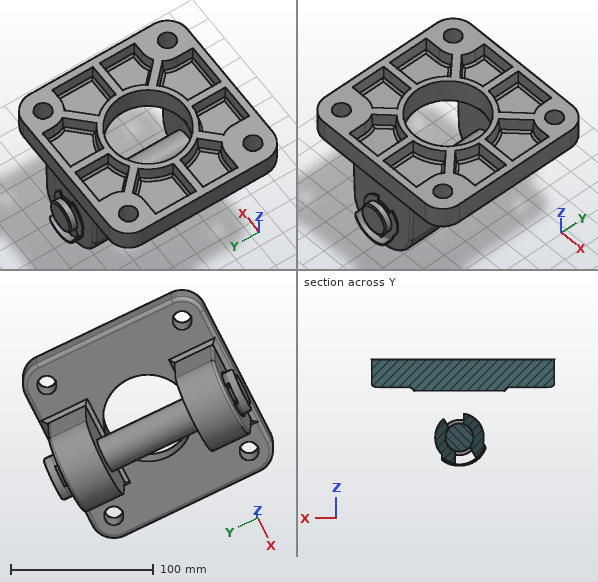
import cadquery as cq
import math

pin_offset = 2.5

plate_side = 140.0
plate_thickness = 20.0
plate_corner_radius = 17.0
plate_edge_fillet = 3.0
bore_radius = 31.5
bolt_circle_diameter = 150.0
bolt_hole_diameter = 13.5
bolt_offset = bolt_circle_diameter / 2 / math.sqrt(2)

pocket_depth = 11.5
pocket_floor_chamfer = 1.7
pocket_draft = 5.0
rim_width = 6.0
cross_rib_width = 6.0
diagonal_rib_width = 6.5
bore_wall_radius = 36.0
bolt_boss_radius = 17.5
bolt_boss_reach = 35.0
boss_square_side = 4 * bolt_boss_radius
boss_square_centre = bolt_boss_reach + boss_square_side / 2

pin_height = -55.0
lug_inner_face = 35.0
lug_outer_face = 65.0
lug_radius = 30.0
lug_top_half_width = 31.0
lug_arc_start_height = -59.2
lug_edge_fillet = 2.0
lug_root_chamfer = 3.0
root_overlap = 1.0

pin_radius = 12.5
pin_end = 73.25
pin_chamfer = 1.1
groove_radius = 10.0
groove_outer_face = 67.2

clip_thickness = 1.2
clip_lobe_radius = 17.2
clip_tip_fillet = 0.6
clip_tilt = 15.0
clip_flare = 15.0
clip_gap_offset = 3.0
tab_outer_radius = 20.0
tab_end = 74.25
tab_end_offset = 12.5
tab_corner_fillet = 2.0
bend_outer_radius = 3.2
bend_inner_radius = 0.8


def cylinder_z(radius, x, y, depth):
    """Vertical cylinder hanging down from the top face."""
    return cq.Workplane("XY").center(x, y).circle(radius).extrude(-depth)


def make_plate():
    plate = cq.Workplane("XY").rect(plate_side, plate_side).extrude(-plate_thickness)
    plate = plate.edges("|Z").fillet(plate_corner_radius)
    return plate.faces("<Z").edges().fillet(plate_edge_fillet)


def lug_half_width(z):
    """Half width of the drafted lug sides at height z."""
    end_half_width = math.sqrt(lug_radius**2 - (lug_arc_start_height - pin_height) ** 2)
    root_height = -plate_thickness - lug_root_chamfer
    slope = (lug_top_half_width - end_half_width) / (root_height - lug_arc_start_height)
    return end_half_width + slope * (z - lug_arc_start_height)


def make_lug():
    """Lug on the -Y side, with a sloped skirt where it meets the plate."""
    top_z = -plate_thickness + root_overlap
    top = lug_half_width(top_z)
    low = lug_half_width(lug_arc_start_height)
    depth = lug_outer_face - lug_inner_face
    lug = (
        cq.Workplane("XZ", origin=(pin_offset, -lug_inner_face, 0))
        .moveTo(-top, top_z)
        .lineTo(-low, lug_arc_start_height)
        .threePointArc((0, pin_height - lug_radius), (low, lug_arc_start_height))
        .lineTo(top, top_z)
        .close()
        .extrude(depth)
    )
    lug = lug.faces("<Y").edges("not >Z").fillet(lug_edge_fillet)
    skirt_height = lug_root_chamfer + root_overlap
    lug_middle = (lug_inner_face + lug_outer_face) / 2
    skirt = (
        cq.Workplane("XY", origin=(pin_offset, -lug_middle, top_z - skirt_height))
        .rect(2 * lug_top_half_width, depth)
        .workplane(offset=skirt_height)
        .rect(2 * (lug_top_half_width + skirt_height), depth + 2 * skirt_height)
        .loft()
    )
    return lug.union(skirt)


def make_pocket_blank():
    """Straight-walled layout of the eight pockets between ribs, bore wall and corner bosses."""
    side = plate_side / 2 - rim_width - cross_rib_width / 2
    centre = cross_rib_width / 2 + side / 2
    blank = (
        cq.Workplane("XY")
        .rect(2 * centre, 2 * centre, forConstruction=True)
        .vertices()
        .rect(side, side)
        .extrude(-pocket_depth)
    )
    blank = blank.cut(cylinder_z(bore_wall_radius, 0, 0, pocket_depth))
    bosses = (
        cq.Workplane("XY")
        .center(pin_offset, pin_offset)
        .rect(2 * boss_square_centre, 2 * boss_square_centre, forConstruction=True)
        .vertices()
        .rect(boss_square_side, boss_square_side)
        .extrude(-pocket_depth)
        .edges("|Z")
        .fillet(bolt_boss_radius)
    )
    blank = blank.cut(bosses)
    for angle in (45, 135):
        rib = cq.Workplane("XY").rect(2 * plate_side, diagonal_rib_width).extrude(-pocket_depth)
        rib = rib.rotate((0, 0, 0), (0, 0, 1), angle).translate((pin_offset, pin_offset, 0))
        blank = blank.cut(rib)
    return blank


def make_bracket():
    lug = make_lug()
    bracket = make_plate().union(lug).union(lug.mirror("XZ"))
    bracket = bracket.cut(cylinder_z(bore_radius, 0, 0, plate_thickness + lug_root_chamfer))
    for sx in (-1, 1):
        for sy in (-1, 1):
            hole = cylinder_z(bolt_hole_diameter / 2, sx * bolt_offset, sy * bolt_offset, plate_thickness)
            bracket = bracket.cut(hole)
    for opening in make_pocket_blank().faces(">Z").vals():
        pocket = (
            cq.Workplane("XY")
            .add(opening.outerWire())
            .toPending()
            .extrude(-pocket_depth, taper=pocket_draft)
        )
        pocket = pocket.faces("<Z").edges().chamfer(pocket_floor_chamfer)
        bracket = bracket.cut(pocket)
    pin_bore = (
        cq.Workplane("XZ", origin=(pin_offset, lug_outer_face, pin_height))
        .circle(pin_radius)
        .extrude(2 * lug_outer_face)
    )
    return bracket.cut(pin_bore)


def make_pin():
    """Pin with chamfered ends and a clip groove outside each lug."""
    pin = (
        cq.Workplane("XZ", origin=(pin_offset, pin_end, pin_height))
        .circle(pin_radius)
        .extrude(2 * pin_end)
        .faces("<Y or >Y")
        .chamfer(pin_chamfer)
    )
    groove = (
        cq.Workplane("XZ", origin=(pin_offset, -lug_outer_face, pin_height))
        .circle(pin_radius)
        .circle(groove_radius)
        .extrude(groove_outer_face - lug_outer_face)
    )
    return pin.cut(groove).cut(groove.mirror("XZ"))


def flared_wedge(offset, direction, reach=tab_end):
    """Prism along -Y whose sides lie `offset` outside two rays flared about the Z axis."""
    flare = math.radians(clip_flare)
    apex_half_width = offset / math.cos(flare)
    length = 2 * tab_outer_radius
    end_half_width = apex_half_width + length * math.tan(flare)
    return (
        cq.Workplane("XZ")
        .polyline(
            [
                (-apex_half_width, 0),
                (-end_half_width, direction * length),
                (end_half_width, direction * length),
                (apex_half_width, 0),
            ]
        )
        .close()
        .extrude(reach)
    )


def make_clip():
    """Open spring ring on the -Y lug with a bent-up curved tab, tilted about the pin axis."""
    ring = (
        cq.Workplane("XZ", origin=(0, -lug_outer_face, 0))
        .circle(clip_lobe_radius)
        .circle(groove_radius)
        .extrude(clip_thickness)
        .cut(flared_wedge(clip_gap_offset, 1))
    )
    tips = cq.selectors.BoxSelector(
        (-tab_outer_radius, -tab_end, pin_radius), (tab_outer_radius, 0, tab_outer_radius)
    )
    ring = ring.edges("|Y").edges(tips).fillet(clip_tip_fillet)

    tab_inner_radius = tab_outer_radius - clip_thickness
    bend_end = lug_outer_face + bend_outer_radius
    ring_face = lug_outer_face + clip_thickness
    tab = (
        cq.Workplane("XY")
        .moveTo(pin_radius, -lug_outer_face)
        .lineTo(tab_outer_radius - bend_outer_radius, -lug_outer_face)
        .radiusArc((tab_outer_radius, -bend_end), bend_outer_radius)
        .lineTo(tab_outer_radius, -tab_end)
        .lineTo(tab_inner_radius, -tab_end)
        .lineTo(tab_inner_radius, -ring_face - bend_inner_radius)
        .radiusArc((tab_inner_radius - bend_inner_radius, -ring_face), -bend_inner_radius)
        .lineTo(pin_radius, -ring_face)
        .close()
        .revolve(360, (0, 0, 0), (0, 1, 0))
        .intersect(flared_wedge(tab_end_offset, -1))
    )
    tab_width = tab.val().BoundingBox().xlen
    rounded_block = (
        cq.Workplane("XY")
        .rect(tab_width, 2 * tab_end)
        .extrude(-tab_outer_radius)
        .edges("|Z")
        .fillet(tab_corner_fillet)
    )
    tab = tab.intersect(rounded_block)

    window = flared_wedge(clip_gap_offset, -1, bend_end)
    clip = ring.union(tab).cut(window)
    clip = clip.rotate((0, 0, 0), (0, 1, 0), clip_tilt)
    return clip.translate((pin_offset, 0, pin_height))


bracket = make_bracket()
pin = make_pin()
front_clip = make_clip()
rear_clip = front_clip.mirror("XZ")

result = cq.Compound.makeCompound([bracket.val(), pin.val(), front_clip.val(), rear_clip.val()])